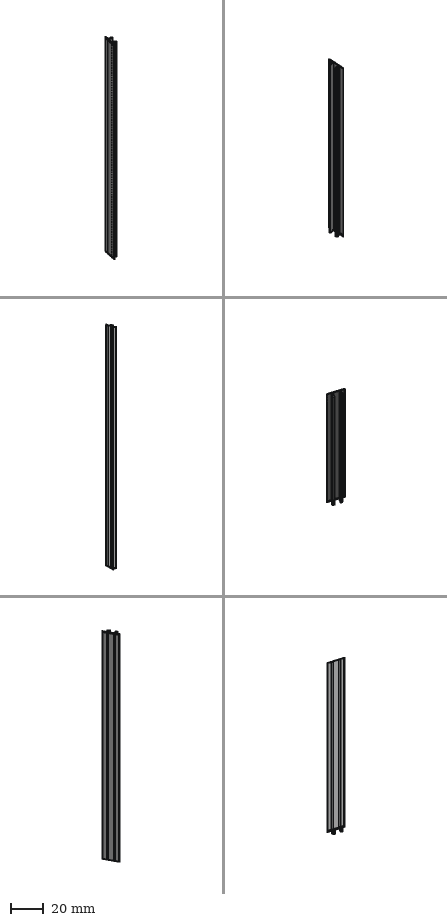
import cadquery as cq

length = 150.0
total_width = 11.8
total_depth = 3.6
plate_thickness = 0.6
side_bevel_width = 0.6
end_bevel_width = 0.5
leg_outer_x = 3.0
leg_thickness = 1.0
barb_projection = 0.5
barb_land = 0.5
barb_shoulder_depth = 1.2

front_y = -total_depth / 2
tip_y = total_depth / 2
back_y = front_y + plate_thickness
shoulder_y = tip_y - barb_shoulder_depth


def extrude_profile(points):
    """Closed XY outline extruded over the full strip length."""
    return cq.Workplane("XY").workplane(offset=-length / 2).polyline(points).close().extrude(length)


def make_plate():
    """Plate with all four front edges bevelled down to a sharp back edge."""
    face_width = total_width - 2 * side_bevel_width
    face_length = length - 2 * end_bevel_width
    back_face = cq.Workplane("XZ", origin=(0, back_y, 0)).rect(total_width, length)
    return back_face.workplane(offset=plate_thickness).rect(face_width, face_length).loft(ruled=True)


def make_leg(side):
    """Snap leg with an outward barb; side is +1 or -1 along X."""
    leg_inner_x = leg_outer_x - leg_thickness
    barb_x = leg_outer_x + barb_projection
    outline = [
        (leg_inner_x, back_y),
        (leg_outer_x, back_y),
        (leg_outer_x, shoulder_y),
        (barb_x, shoulder_y),
        (barb_x, shoulder_y + barb_land),
        (leg_outer_x, tip_y),
        (leg_inner_x, tip_y),
    ]
    return extrude_profile([(side * x, y) for x, y in outline])


result = make_plate()
for side in (-1, 1):
    result = result.union(make_leg(side))